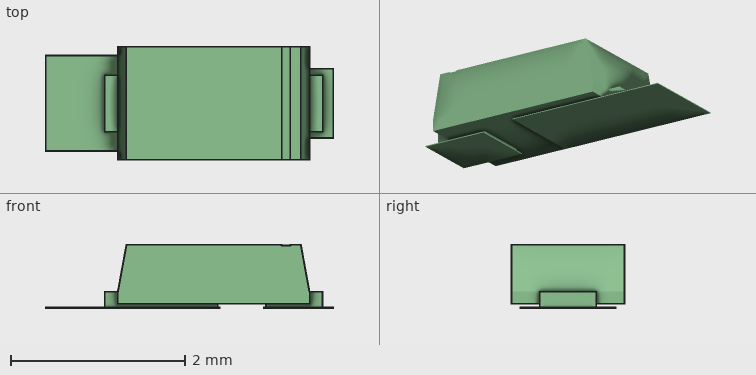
import cadquery as cq


body_length = 2.2
body_width = 1.3
body_bottom = 0.05
body_top = 0.73
end_taper = 0.1

groove_width = 0.1
groove_depth = 0.01
groove_edge_gap = 0.122

lead_span = 2.5
lead_width = 0.65
lead_top = 0.188
left_lead_length = 1.3
right_lead_length = 0.65

overall_length = 3.3
pad_thickness = 0.01
left_pad_start = -1.927
left_pad_length = 2.0
left_pad_width = 1.1
right_pad_size = 0.8


def block(x_start, length, width, z_start, z_end):
    """Rectangular block centred on Y."""
    return (
        cq.Workplane("XY", origin=(x_start, 0, z_start))
        .box(length, width, z_end - z_start, centered=(False, True, False))
    )


def make_body():
    """Body with vertical ends up to the lead tops, then tapered ends."""
    half_bottom = body_length / 2
    half_top = half_bottom - end_taper
    body = (
        cq.Workplane("XZ")
        .moveTo(-half_bottom, body_bottom)
        .lineTo(half_bottom, body_bottom)
        .lineTo(half_bottom, lead_top)
        .lineTo(half_top, body_top)
        .lineTo(-half_top, body_top)
        .lineTo(-half_bottom, lead_top)
        .close()
        .extrude(body_width / 2, both=True)
    )
    groove_start = half_top - groove_edge_gap - groove_width
    groove = block(groove_start, groove_width, body_width, body_top - groove_depth, body_top)
    return body.cut(groove)


def make_leads():
    left = block(-lead_span / 2, left_lead_length, lead_width, pad_thickness, lead_top)
    right_start = lead_span / 2 - right_lead_length
    right = block(right_start, right_lead_length, lead_width, pad_thickness, lead_top)
    return left, right


def make_pads():
    left = block(left_pad_start, left_pad_length, left_pad_width, 0, pad_thickness)
    right_start = left_pad_start + overall_length - right_pad_size
    right = block(right_start, right_pad_size, right_pad_size, 0, pad_thickness)
    return left, right


result = make_body()
for piece in make_leads() + make_pads():
    result = result.union(piece)